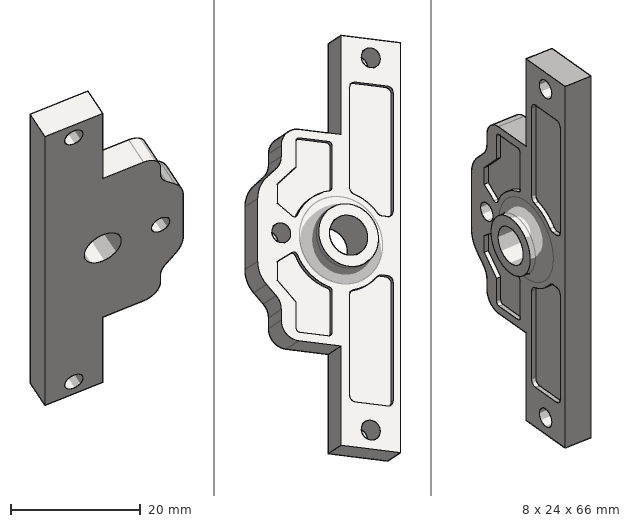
import cadquery as cq
import math


plate_thickness = 5.0
length = 66.0
bar_width = 10.0
shoulder_y = bar_width
lobe_reach = 14.0
shoulder_height = 17.0
slope_top = 11.1
slope_bottom = slope_top - (lobe_reach - shoulder_y)
outline_radius = 3.0
lobe_tip_radius = 5.0

boss_diameter = 10.0
boss_height = 3.0
boss_fillet = 2.0
bore_diameter = 6.4
small_hole_diameter = 3.2
end_hole_y = -bar_width / 2
end_hole_z = 29.95

pocket_depth = 0.8
pocket_arc_radius = 8.0
bar_pocket_inner = -1.45
bar_pocket_outer = -8.8
bar_pocket_bottom = 4.75
bar_pocket_top = 25.75
bar_pocket_corner = 1.0
lobe_pocket_inner = 1.5
lobe_pocket_step = 7.5
lobe_pocket_outer = 10.7
lobe_pocket_top = 15.65
lobe_pocket_slope_top = 10.9
lobe_pocket_slope_bottom = lobe_pocket_slope_top - (lobe_pocket_outer - lobe_pocket_step)
lobe_pocket_side_bottom = 4.7
lobe_pocket_tip = 2.5
lobe_pocket_corner = 0.6


def arc_z(y):
    """Height at y on the pocket arc around the bore."""
    return math.sqrt(pocket_arc_radius**2 - y**2)


def arc_y(z):
    """Distance from the bore axis along Y at height z on the pocket arc."""
    return math.sqrt(pocket_arc_radius**2 - z**2)


def arc_middle(start, end):
    """Point halfway along the pocket arc between two of its points."""
    angle = (math.atan2(start[1], start[0]) + math.atan2(end[1], end[0])) / 2
    return (pocket_arc_radius * math.cos(angle), pocket_arc_radius * math.sin(angle))


def round_corners(solid, points, radius):
    """Fillet the edges along X that stand at the given (y, z) points."""
    near = 0.005
    for y, z in points:
        corner = cq.selectors.BoxSelector(
            (0, y - near, z - near), (plate_thickness, y + near, z + near)
        )
        solid = solid.edges("|X").edges(corner).fillet(radius)
    return solid


def mirrored_pair(points):
    """The given (y, z) points together with their mirror images about Z = 0."""
    return points + [(y, -z) for y, z in points]


def make_plate():
    half_length = length / 2
    upper_lobe = [
        (shoulder_y, shoulder_height),
        (shoulder_y, slope_top),
        (lobe_reach, slope_bottom),
    ]
    upper = [(-bar_width, half_length), (0, half_length), (0, shoulder_height)] + upper_lobe
    lower = [(y, -z) for y, z in reversed(upper)]
    plate = cq.Workplane("YZ").polyline(upper + lower).close().extrude(plate_thickness)
    plate = round_corners(plate, mirrored_pair(upper_lobe[:2]), outline_radius)
    return round_corners(plate, mirrored_pair(upper_lobe[2:]), lobe_tip_radius)


def make_boss():
    """Turned boss whose foot flares into the plate."""
    radius = boss_diameter / 2
    diagonal = boss_fillet * math.sqrt(0.5)
    return (
        cq.Workplane("XY")
        .moveTo(-boss_height, 0)
        .lineTo(-boss_height, radius)
        .lineTo(-boss_fillet, radius)
        .threePointArc(
            (-boss_fillet + diagonal, radius + boss_fillet - diagonal),
            (0, radius + boss_fillet),
        )
        .lineTo(plate_thickness, radius + boss_fillet)
        .lineTo(plate_thickness, 0)
        .close()
        .revolve(360, (0, 0, 0), (1, 0, 0))
    )


def make_bar_pocket():
    arc_start = (-arc_y(bar_pocket_bottom), bar_pocket_bottom)
    arc_end = (bar_pocket_inner, arc_z(bar_pocket_inner))
    pocket = (
        cq.Workplane("YZ")
        .moveTo(*arc_start)
        .threePointArc(arc_middle(arc_start, arc_end), arc_end)
        .lineTo(bar_pocket_inner, bar_pocket_top)
        .lineTo(bar_pocket_outer, bar_pocket_top)
        .lineTo(bar_pocket_outer, bar_pocket_bottom)
        .close()
        .extrude(pocket_depth)
    )
    return pocket.edges("|X").fillet(bar_pocket_corner)


def make_lobe_pocket():
    arc_start = (lobe_pocket_inner, arc_z(lobe_pocket_inner))
    arc_end = (arc_y(lobe_pocket_tip), lobe_pocket_tip)
    top_inner = (lobe_pocket_inner, lobe_pocket_top)
    top_outer = (lobe_pocket_step, lobe_pocket_top)
    pocket = (
        cq.Workplane("YZ")
        .moveTo(*arc_start)
        .threePointArc(arc_middle(arc_start, arc_end), arc_end)
        .lineTo(lobe_pocket_outer, lobe_pocket_side_bottom)
        .lineTo(lobe_pocket_outer, lobe_pocket_slope_bottom)
        .lineTo(lobe_pocket_step, lobe_pocket_slope_top)
        .lineTo(*top_outer)
        .lineTo(*top_inner)
        .close()
        .extrude(pocket_depth)
    )
    rounded = [arc_start, arc_end, top_outer, top_inner]
    return round_corners(pocket, rounded, lobe_pocket_corner)


def make_hole(y, z, diameter):
    """Cutter along X passing through both plate and boss."""
    return (
        cq.Workplane("YZ", origin=(-boss_height, 0, 0))
        .center(y, z)
        .circle(diameter / 2)
        .extrude(boss_height + plate_thickness)
    )


result = make_plate().union(make_boss())

for pocket in (make_bar_pocket(), make_lobe_pocket()):
    result = result.cut(pocket).cut(pocket.mirror("XY"))

result = result.cut(make_hole(0, 0, bore_diameter))
for hole_y, hole_z in (
    (end_hole_y, end_hole_z),
    (end_hole_y, -end_hole_z),
    (shoulder_y, 0),
):
    result = result.cut(make_hole(hole_y, hole_z, small_hole_diameter))